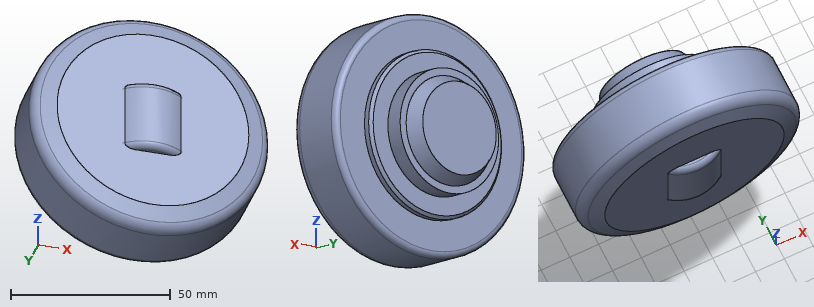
import cadquery as cq
import math


wheel_radius = 77.7 / 2
wheel_width = 23.0
face_radius = 62.5 / 2
cone_angle = math.radians(20)
front_round = 4.0
back_round = 2.0

collar_radius = 54.0 / 2
collar_width = 3.0
collar_chamfer = 1.0
stud_radius = 40.0 / 2
stud_length = 6.0
tip_base_radius = 35.1 / 2
tip_end_radius = 29.8 / 2
tip_length = 5.0

roller_radius = 30.9 / 2
roller_length = 24.0
roller_round = 2.0
roller_protrusion = 3.0


def revolve_about_y(profile):
    return profile.close().revolve(360, (0, 0, 0), (0, 1, 0))


def make_wheel():
    """Disc with a conical front rim, blended by an arc tangent to both cone and tread."""
    arc_sweep = math.pi / 2 - cone_angle
    arc_center_radius = wheel_radius - front_round
    cone_radius = arc_center_radius + front_round * math.cos(arc_sweep)
    cone_depth = (cone_radius - face_radius) * math.tan(cone_angle)
    arc_center_y = cone_depth + front_round * math.sin(arc_sweep)
    arc_middle = (
        arc_center_radius + front_round * math.cos(arc_sweep / 2),
        arc_center_y - front_round * math.sin(arc_sweep / 2),
    )
    profile = (
        cq.Workplane("XY")
        .lineTo(face_radius, 0)
        .lineTo(cone_radius, cone_depth)
        .threePointArc(arc_middle, (wheel_radius, arc_center_y))
        .lineTo(wheel_radius, wheel_width)
        .lineTo(0, wheel_width)
    )
    return revolve_about_y(profile).faces(">Y").edges().fillet(back_round)


def make_collar_and_stud():
    """Chamfered collar, cylindrical stud and tapered tip."""
    collar_end = wheel_width + collar_width
    stud_end = collar_end + stud_length
    tip_end = stud_end + tip_length
    profile = (
        cq.Workplane("XY")
        .lineTo(collar_radius, 0)
        .lineTo(collar_radius, collar_end - collar_chamfer)
        .lineTo(collar_radius - collar_chamfer, collar_end)
        .lineTo(stud_radius, collar_end)
        .lineTo(stud_radius, stud_end)
        .lineTo(tip_base_radius, stud_end)
        .lineTo(tip_end_radius, tip_end)
        .lineTo(0, tip_end)
    )
    return revolve_about_y(profile)


def make_roller():
    """Cylinder with rounded end edges."""
    return (
        cq.Workplane("XY")
        .workplane(offset=-roller_length / 2)
        .center(0, roller_radius - roller_protrusion)
        .circle(roller_radius)
        .extrude(roller_length)
        .edges("%CIRCLE")
        .fillet(roller_round)
    )


roller = make_roller()
wheel_body = make_wheel().union(make_collar_and_stud()).cut(roller)

result = cq.Compound.makeCompound([wheel_body.solids().val(), roller.val()])